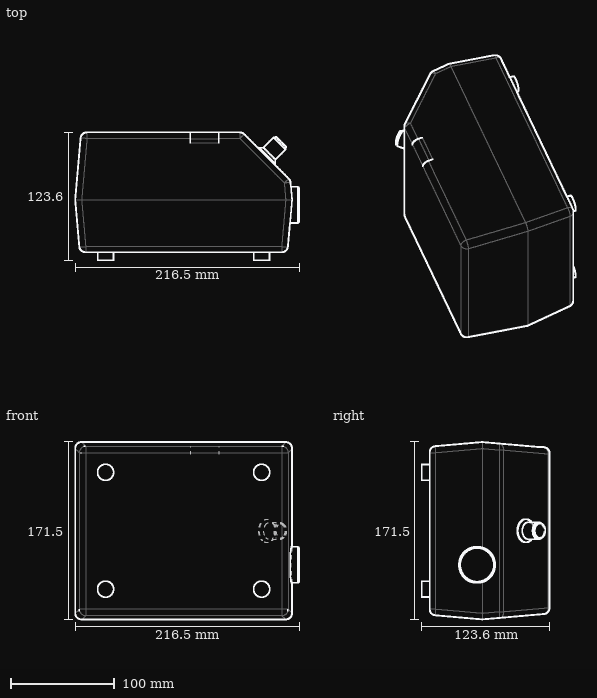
import cadquery as cq
import math

OVERALL_LENGTH = 216.5

BODY_LENGTH = 209.5
BODY_HEIGHT = 171.5
BACK_DEPTH = 65.2
FRONT_DEPTH = 50.9
DRAFT = 5
EDGE_RADIUS = 6.3

PANEL_TOP_X = 56.7

FOOT_DIAMETER = 15.5
FOOT_HEIGHT = 7.5
FOOT_SPACING_X = 150.7
FOOT_SPACING_Z = 112.8

BUTTON_DIAMETER = 35.0
BUTTON_END_X = OVERALL_LENGTH - BODY_LENGTH / 2
BUTTON_Y = -5.0
BUTTON_Z = -33.0
BUTTON_CHAMFER = 1.3

CONNECTOR_X = 80.1
COLLAR_RADIUS = 11.3
COLLAR_RIM = 0.9
COLLAR_CONE = 3.0
STEM_RADIUS = 8.2
STEM_LENGTH = 20.0
TIP_RADIUS = 7.1
TIP_LENGTH = 2.2

TAB_LEFT_X = 6.3
TAB_WIDTH = 27.5
TAB_DEPTH = 10.2

EMBED = 4.3


def draft_offset(depth):
    """Inward shift of a tapered side at a distance from the parting plane."""
    return depth * math.tan(math.radians(DRAFT))


def tapered_half(depth, direction):
    """Housing half grown from the parting plane toward +Y (1) or -Y (-1), with sharp edges."""
    plane = cq.Plane(origin=(0, 0, 0), xDir=(1, 0, 0), normal=(0, direction, 0))
    return cq.Workplane(plane).rect(BODY_LENGTH, BODY_HEIGHT).extrude(depth, taper=DRAFT)


def panel_cutter():
    """Prism that removes the +X back corner behind the sloped panel."""
    corner_x = BODY_LENGTH / 2
    drop = corner_x - PANEL_TOP_X
    return (
        cq.Workplane("XY")
        .polyline([
            (PANEL_TOP_X, BACK_DEPTH),
            (corner_x, BACK_DEPTH - drop),
            (corner_x, BACK_DEPTH),
        ])
        .close()
        .extrude(BODY_HEIGHT / 2, both=True)
    )


def round_outer_edges(half):
    """Fillet every edge of a half except those lying on the parting plane."""
    parting_edges = cq.selectors.BoxSelector(
        (-BODY_LENGTH, -0.02, -BODY_HEIGHT), (BODY_LENGTH, 0.02, BODY_HEIGHT), boundingbox=True
    )
    return half.edges(cq.selectors.InverseSelector(parting_edges)).fillet(EDGE_RADIUS)


def feet():
    """Four round feet on the front face."""
    return (
        cq.Workplane("XZ", origin=(0, EMBED - FRONT_DEPTH, 0))
        .rarray(FOOT_SPACING_X, FOOT_SPACING_Z, 2, 2)
        .circle(FOOT_DIAMETER / 2)
        .extrude(EMBED + FOOT_HEIGHT)
    )


def button():
    """Chamfered round button on the +X side."""
    start_x = BODY_LENGTH / 2 - EMBED
    return (
        cq.Workplane("YZ", origin=(start_x, BUTTON_Y, BUTTON_Z))
        .circle(BUTTON_DIAMETER / 2)
        .extrude(BUTTON_END_X - start_x)
        .faces(">X")
        .chamfer(BUTTON_CHAMFER)
    )


def connector():
    """Coned collar and stepped stem, turned about the normal of the sloped panel."""
    panel_y = PANEL_TOP_X + BACK_DEPTH - CONNECTOR_X
    plane = cq.Plane(origin=(CONNECTOR_X, panel_y, 0), xDir=(1, -1, 0), normal=(0, 0, 1))
    profile = [
        (0, -EMBED),
        (COLLAR_RADIUS, -EMBED),
        (COLLAR_RADIUS, COLLAR_RIM),
        (STEM_RADIUS, COLLAR_RIM + COLLAR_CONE),
        (STEM_RADIUS, STEM_LENGTH - TIP_LENGTH),
        (TIP_RADIUS, STEM_LENGTH - TIP_LENGTH),
        (TIP_RADIUS, STEM_LENGTH),
        (0, STEM_LENGTH),
    ]
    return cq.Workplane(plane).polyline(profile).close().revolve(360, (0, 0, 0), (0, 1, 0))


def tab():
    """Untapered tab whose face leaves the tapered top side and runs flat to the rounded back edge."""
    tab_top = BODY_HEIGHT / 2 - draft_offset(BACK_DEPTH - TAB_DEPTH)
    thickness = EDGE_RADIUS + EMBED
    return (
        cq.Workplane("XY", origin=(TAB_LEFT_X, BACK_DEPTH - TAB_DEPTH, tab_top - thickness))
        .box(TAB_WIDTH, TAB_DEPTH, thickness, centered=False)
        .edges(">Y and >Z")
        .fillet(EDGE_RADIUS)
    )


back_half = round_outer_edges(tapered_half(BACK_DEPTH, 1).cut(panel_cutter()))
front_half = round_outer_edges(tapered_half(FRONT_DEPTH, -1))

result = (
    back_half
    .union(front_half)
    .union(feet())
    .union(button())
    .union(connector())
    .union(tab())
)